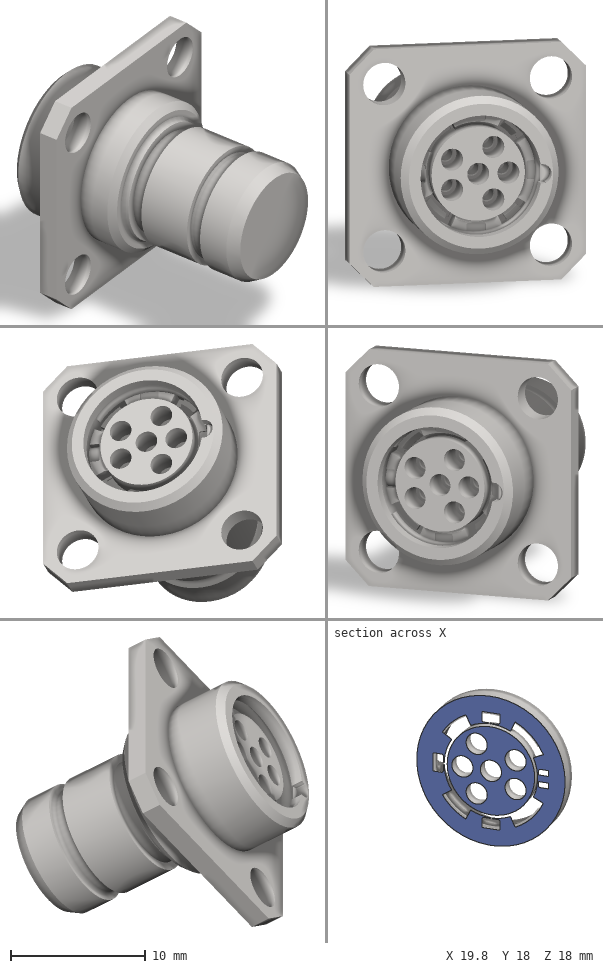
import cadquery as cq
import math


total_length = 19.8
body_radius = 6.0
body_end = 9.3
body_chamfer = 0.51
collar_root_radius = 4.95
collar_radius = 4.73
collar_fillet_end = 9.7
collar_end = 9.82
neck_radius = 4.12
barrel_start = 11.0
barrel_radius = 4.73
groove_start = 15.23
groove_end = 16.45
groove_radius = 4.15
groove_front_bevel = 0.18
groove_front_rise = 0.08
groove_rear_fillet = 0.28
tail_chamfer_length = 0.91
tail_chamfer_height = 0.51

flange_size = 18.0
flange_start = 4.8
flange_end = 6.32
flange_corner_chamfer = 1.86
mount_hole_radius = 1.6
mount_hole_offset = 6.34

bore_radius = 4.6
wire_seat_depth = 0.91
wire_seat_radius = 4.63
segment_depth = 1.78
insert_radius = 3.55
insert_depth = 0.99
gap_radius = 3.8
gap_depth = 0.3

overlap = 0.2

wire_radius = 0.55
wire_protrusion = 0.1
wire_center_radius = bore_radius - wire_protrusion + wire_radius
wire_gap_half_angle = 33

window_depth = 2.87
wide_window = (25, 65)
wide_ramp = (32, 58)
narrow_window = (116, 147)
narrow_ramp = (123, 140)
wide_trough = (28, 62)
trough_outer_radius = 4.04
trough_depth = 0.1
ramp_inner_radius = 3.8
ramp_outer_radius = 4.22
ramp_height = 0.42

key_width = 1.43
key_inner_radius = 3.85
key_depth = 0.12
key_pin_radius = key_width / 2
key_corner_radius = 0.14

notch_radius = 0.73
notch_center_radius = 4.63
notch_depth = 0.8
notch_lip_radius = 0.34
notch_lip_start = 4.93

contact_circle_radius = 2.3
contact_angles = (-120, -30, 30, 120, 180)
contact_hole_radius = 0.83
contact_face_depth = 2.38
contact_bore_radius = 0.51
contact_bore_chamfer = 0.08
contact_bore_depth = 1.58


def revolve_about_axis(profile, start_angle=0, end_angle=360):
    """Turn a closed (X, radius) profile about X, between two angles from +Y towards +Z."""
    solid = profile.close().revolve(end_angle - start_angle, (0, 0, 0), (1, 0, 0))
    return solid.rotate((0, 0, 0), (1, 0, 0), start_angle)


def disc(radius, start, end, y=0.0, z=0.0):
    """Cylinder along X between two X positions."""
    return cq.Workplane("YZ", origin=(start, y, z)).circle(radius).extrude(end - start)


def mirrored_spans(span):
    """An angular span and its mirror image below the XY plane."""
    return (span, (-span[1], -span[0]))


def make_shell():
    fillet_bow = 1 - math.sqrt(0.5)
    collar_mid = (
        collar_fillet_end - (collar_fillet_end - body_end) * math.sqrt(0.5),
        collar_radius + (collar_root_radius - collar_radius) * fillet_bow,
    )
    rear_fillet_mid = (
        groove_end - groove_rear_fillet * fillet_bow,
        groove_radius + groove_rear_fillet * fillet_bow,
    )
    profile = (
        cq.Workplane("XY")
        .lineTo(0, body_radius - body_chamfer)
        .lineTo(body_chamfer, body_radius)
        .lineTo(body_end - body_chamfer, body_radius)
        .lineTo(body_end, body_radius - body_chamfer)
        .lineTo(body_end, collar_root_radius)
        .threePointArc(collar_mid, (collar_fillet_end, collar_radius))
        .lineTo(collar_end, collar_radius)
        .lineTo(collar_end, neck_radius)
        .lineTo(barrel_start, neck_radius)
        .lineTo(barrel_start, barrel_radius)
        .lineTo(groove_start, barrel_radius)
        .lineTo(groove_start, groove_radius + groove_front_rise)
        .lineTo(groove_start + groove_front_bevel, groove_radius)
        .lineTo(groove_end - groove_rear_fillet, groove_radius)
        .threePointArc(rear_fillet_mid, (groove_end, groove_radius + groove_rear_fillet))
        .lineTo(groove_end, barrel_radius)
        .lineTo(total_length - tail_chamfer_length, barrel_radius)
        .lineTo(total_length, barrel_radius - tail_chamfer_height)
        .lineTo(total_length, 0)
    )
    return revolve_about_axis(profile)


def make_flange():
    plate = (
        cq.Workplane("YZ", origin=(flange_start, 0, 0))
        .rect(flange_size, flange_size)
        .extrude(flange_end - flange_start)
        .edges("|X")
        .chamfer(flange_corner_chamfer)
    )
    return (
        plate.faces("<X")
        .workplane(origin=(flange_start, 0, 0))
        .rect(2 * mount_hole_offset, 2 * mount_hole_offset, forConstruction=True)
        .vertices()
        .hole(2 * mount_hole_radius)
    )


def make_socket_opening():
    """Stepped bore that leaves the insert standing in a deep annular channel."""
    profile = (
        cq.Workplane("XY")
        .lineTo(0, bore_radius)
        .lineTo(wire_seat_depth, bore_radius)
        .lineTo(wire_seat_depth, wire_seat_radius)
        .lineTo(window_depth, wire_seat_radius)
        .lineTo(window_depth, insert_radius)
        .lineTo(insert_depth, insert_radius)
        .lineTo(insert_depth, 0)
    )
    return revolve_about_axis(profile)


def make_segment(span):
    """Raised stretch of the channel floor, bevelled next to the insert's side."""
    profile = (
        cq.Workplane("XY")
        .moveTo(window_depth + overlap, insert_radius - overlap)
        .lineTo(segment_depth + gap_depth, insert_radius - overlap)
        .lineTo(segment_depth + gap_depth, insert_radius)
        .lineTo(segment_depth, gap_radius)
        .lineTo(segment_depth, wire_seat_radius + overlap)
        .lineTo(window_depth + overlap, wire_seat_radius + overlap)
    )
    return revolve_about_axis(profile, *span)


def make_trough(span):
    """Shallow step along the inner side of a window floor."""
    profile = (
        cq.Workplane("XY")
        .moveTo(window_depth, insert_radius)
        .lineTo(window_depth, trough_outer_radius)
        .lineTo(window_depth + trough_depth, trough_outer_radius)
        .lineTo(window_depth + trough_depth, insert_radius)
    )
    return revolve_about_axis(profile, *span)


def make_ramp(span):
    """Latch ramp on a window floor, sloping down towards the axis."""
    profile = (
        cq.Workplane("XY")
        .moveTo(window_depth + ramp_height, ramp_inner_radius)
        .lineTo(window_depth, ramp_inner_radius)
        .lineTo(window_depth - ramp_height, ramp_outer_radius)
        .lineTo(window_depth - ramp_height, wire_seat_radius + overlap)
        .lineTo(window_depth + ramp_height, wire_seat_radius + overlap)
    )
    return revolve_about_axis(profile, *span)


def make_wire_groove():
    profile = (
        cq.Workplane("XY")
        .moveTo(wire_seat_depth, bore_radius - overlap)
        .lineTo(wire_seat_depth, wire_center_radius)
        .lineTo(segment_depth, wire_center_radius)
        .lineTo(segment_depth, bore_radius - overlap)
    )
    return revolve_about_axis(profile, wire_gap_half_angle, 360 - wire_gap_half_angle)


def make_retaining_wire():
    """Front half of a wire whose middle is level with the segments."""
    wire_front = segment_depth - wire_radius
    arc_run = wire_radius * math.sqrt(0.5)
    profile = (
        cq.Workplane("XY")
        .moveTo(wire_front, wire_center_radius + overlap)
        .lineTo(wire_front, wire_center_radius)
        .threePointArc(
            (segment_depth - arc_run, wire_center_radius - arc_run),
            (segment_depth, wire_center_radius - wire_radius),
        )
        .lineTo(segment_depth, wire_center_radius + overlap)
    )
    return revolve_about_axis(profile, wire_gap_half_angle, 360 - wire_gap_half_angle)


def make_key_pocket(angle, depth):
    radial_length = wire_seat_radius - key_inner_radius
    pocket = (
        cq.Workplane("XY")
        .box(depth, radial_length, key_width, centered=(False, False, True))
        .edges("|X and <Y")
        .fillet(key_corner_radius)
        .translate((segment_depth, key_inner_radius, 0))
    )
    return pocket.rotate((0, 0, 0), (1, 0, 0), angle)


def make_key_pin():
    """Round pin lying along Y in the +Y key pocket, level with the segment."""
    pin_length = wire_seat_radius - key_inner_radius
    return (
        cq.Workplane("XZ", origin=(segment_depth + key_pin_radius, key_inner_radius, 0))
        .circle(key_pin_radius)
        .extrude(-pin_length)
    )


def make_keying_notch():
    """Round notch in the rim whose floor rolls over into the bore."""
    round_cut = disc(notch_radius, 0, notch_depth, y=-notch_center_radius)
    lip_bow = notch_lip_radius * math.sqrt(0.5)
    lip_inner = notch_lip_start - notch_lip_radius
    lip_bottom = notch_depth + notch_lip_radius
    lip_cut = (
        cq.Workplane("XY")
        .moveTo(0, -notch_lip_start)
        .lineTo(notch_depth, -notch_lip_start)
        .threePointArc((lip_bottom - lip_bow, -notch_lip_start + lip_bow), (lip_bottom, -lip_inner))
        .lineTo(lip_bottom, -key_inner_radius)
        .lineTo(0, -key_inner_radius)
        .close()
        .extrude(key_width / 2, both=True)
    )
    return round_cut.union(lip_cut)


def make_contact_cavity(y, z):
    """Insert hole down to the contact, with the contact's own countersunk bore."""
    contact_face = insert_depth + contact_face_depth
    hole = disc(contact_hole_radius, insert_depth, contact_face, y, z)
    bore = disc(contact_bore_radius, contact_face, contact_face + contact_bore_depth, y, z)
    countersink = cq.Workplane(
        cq.Solid.makeCone(
            contact_bore_radius + contact_bore_chamfer,
            contact_bore_radius,
            contact_bore_chamfer,
            cq.Vector(contact_face, y, z),
            cq.Vector(1, 0, 0),
        )
    )
    return hole.union(bore).union(countersink)


result = make_shell().union(make_flange().cut(disc(body_radius - body_chamfer, 0, total_length)))
result = result.cut(make_socket_opening())

segment_spans = (
    (-wide_window[0], wide_window[0]),
    (wide_window[1], narrow_window[0]),
    (narrow_window[1], 360 - narrow_window[1]),
    (-narrow_window[0], -wide_window[1]),
)
for segment_span in segment_spans:
    result = result.union(make_segment(segment_span))
for trough_span in mirrored_spans(wide_trough) + mirrored_spans(narrow_window):
    result = result.cut(make_trough(trough_span))
for ramp_span in mirrored_spans(wide_ramp) + mirrored_spans(narrow_ramp):
    result = result.union(make_ramp(ramp_span))

for key_angle in (90, 180, 270):
    result = result.cut(make_key_pocket(key_angle, key_depth))
result = result.cut(make_key_pocket(0, key_pin_radius))
result = result.union(make_key_pin())

result = result.cut(make_wire_groove()).union(make_retaining_wire())
result = result.cut(make_keying_notch())

result = result.cut(make_contact_cavity(0, 0))
for contact_angle in contact_angles:
    contact_y = contact_circle_radius * math.cos(math.radians(contact_angle))
    contact_z = contact_circle_radius * math.sin(math.radians(contact_angle))
    result = result.cut(make_contact_cavity(contact_y, contact_z))